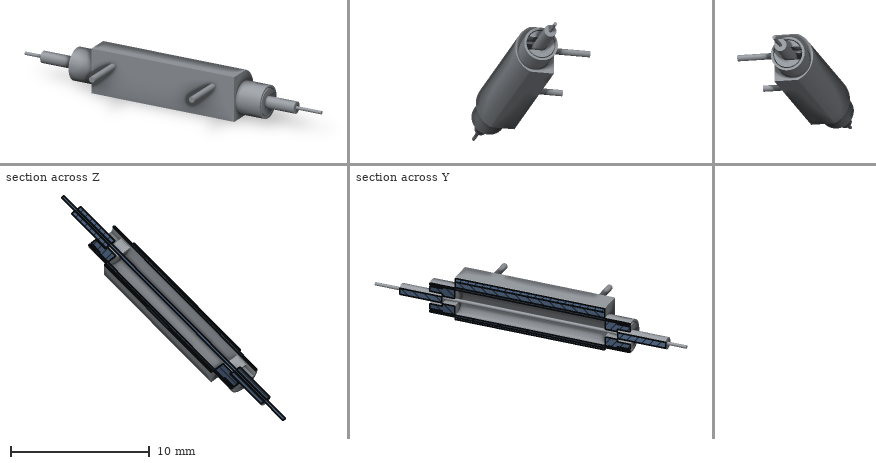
import cadquery as cq
import math


HOUSING_LENGTH = 11.8
HOUSING_DEPTH = 2.87
HOUSING_HEIGHT = 3.45
SHELL_WALL = 0.3
BACK_RADIUS = 1.89
EDGE_RADIUS = 0.3

TUBE_LENGTH = 15.8
TUBE_RADIUS = 1.25
TUBE_BORE_RADIUS = 1.08
TUBE_Y = 1.45
TUBE_Z = -0.3

PLUG_NOSE_RADIUS = 1.0
PLUG_LENGTH = (TUBE_LENGTH - HOUSING_LENGTH) / 2
SEAT_DEPTH = PLUG_LENGTH / 2
SEAT_RADIUS = 0.5
SLOT_RADIUS = 0.3

FIBRE_RADIUS = 0.125
FIBRE_LEFT_X = -12.18
FIBRE_LENGTH = 24.5
JACKET_RADIUS = 0.9 / 2
JACKET_LEFT_LENGTH = 2.8
JACKET_RIGHT_LENGTH = 2.35

PIN_RADIUS = 0.225
PIN_LENGTH = 3.1
PIN_SPACING = 8.25
PIN_Z = 0.69


def rod(radius, start_x, length):
    """Round bar along X on the tube axis."""
    start = cq.Workplane("YZ", origin=(start_x, TUBE_Y, TUBE_Z))
    return start.circle(radius).extrude(length)


def round_backed_bar(wall):
    """Full-length bar with the housing outline, moved in by `wall` except at the mounting face."""
    half_height = HOUSING_HEIGHT / 2 - wall
    radius = BACK_RADIUS - wall
    centre_y = HOUSING_DEPTH - BACK_RADIUS
    side_depth = centre_y + math.sqrt(radius**2 - half_height**2)
    return (
        cq.Workplane("YZ", origin=(-HOUSING_LENGTH / 2, 0, 0))
        .moveTo(0, -half_height)
        .lineTo(side_depth, -half_height)
        .threePointArc((centre_y + radius, 0), (side_depth, half_height))
        .lineTo(0, half_height)
        .close()
        .extrude(HOUSING_LENGTH)
    )


def make_core():
    return round_backed_bar(SHELL_WALL).cut(rod(TUBE_RADIUS, -TUBE_LENGTH / 2, TUBE_LENGTH))


def make_shell():
    bar = round_backed_bar(0)
    side_edges = bar.faces("<Z or >Z").edges(">Y")
    rounded_bar = bar.newObject(side_edges.vals()).fillet(EDGE_RADIUS)
    walls = rounded_bar.cut(round_backed_bar(SHELL_WALL))
    return walls.cut(rod(TUBE_RADIUS, -TUBE_LENGTH / 2, TUBE_LENGTH))


def make_tube():
    outside = rod(TUBE_RADIUS, -TUBE_LENGTH / 2, TUBE_LENGTH)
    return outside.cut(rod(TUBE_BORE_RADIUS, -TUBE_LENGTH / 2, TUBE_LENGTH))


def slot_cutter(radius, start_x, length):
    """Round-ended slot from the tube axis out through the +Y side of a plug."""
    opening = (
        cq.Workplane("XY", origin=(start_x, TUBE_Y, TUBE_Z))
        .box(length, TUBE_BORE_RADIUS, 2 * radius, centered=(False, False, True))
    )
    return rod(radius, start_x, length).union(opening)


def make_plug(end):
    """Plug flush with the -X tube end (end = -1) or the +X tube end (end = 1)."""
    outer_x = -TUBE_LENGTH / 2
    plug = (
        rod(PLUG_NOSE_RADIUS, outer_x, SEAT_DEPTH)
        .union(rod(TUBE_BORE_RADIUS, outer_x + SEAT_DEPTH, PLUG_LENGTH - SEAT_DEPTH))
        .cut(slot_cutter(SEAT_RADIUS, outer_x, SEAT_DEPTH))
        .cut(slot_cutter(SLOT_RADIUS, outer_x + SEAT_DEPTH, PLUG_LENGTH - SEAT_DEPTH))
    )
    return plug if end < 0 else plug.mirror("YZ")


def make_jacket(end, outside_length):
    """Sleeve around the fibre, from the bottom of a plug's seat outwards."""
    length = SEAT_DEPTH + outside_length
    inner_x = TUBE_LENGTH / 2 - SEAT_DEPTH
    start_x = inner_x if end > 0 else -inner_x - length
    return rod(JACKET_RADIUS, start_x, length).cut(rod(FIBRE_RADIUS, start_x, length))


def make_fibre():
    return rod(FIBRE_RADIUS, FIBRE_LEFT_X, FIBRE_LENGTH)


def make_pin(x):
    return cq.Workplane("XZ", origin=(x, 0, PIN_Z)).circle(PIN_RADIUS).extrude(PIN_LENGTH)


shell = make_shell()
core = make_core()
tube = make_tube()
fibre = make_fibre()
plugs = [make_plug(end) for end in (-1, 1)]
jackets = [make_jacket(-1, JACKET_LEFT_LENGTH), make_jacket(1, JACKET_RIGHT_LENGTH)]
pins = [make_pin(side * PIN_SPACING / 2) for side in (-1, 1)]

bodies = [shell, core, tube, fibre, *plugs, *jackets, *pins]
result = cq.Compound.makeCompound([body.val() for body in bodies])